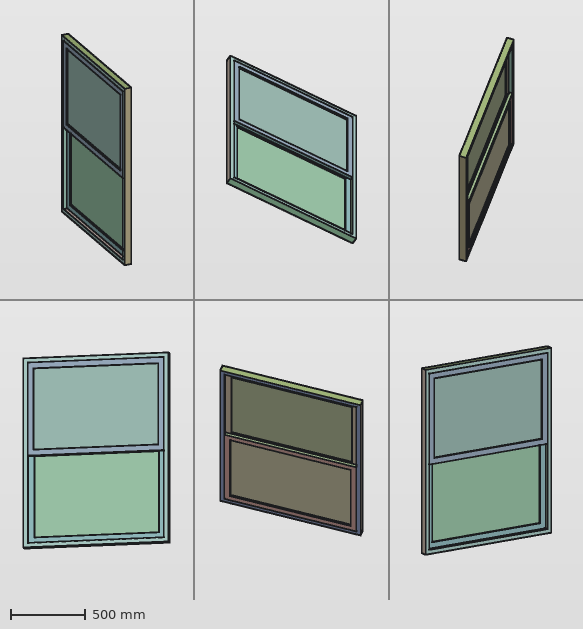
import cadquery as cq

frame_width = 1000.0
frame_height = 1300.0
frame_depth = 50.0
frame_border = 30.0

sash_border = 40.0
sash_depth = 23.0
head_gap = 0.9

glass_thickness = 3.0

opening_width = frame_width - 2 * frame_border
opening_height = frame_height - 2 * frame_border
sash_width = opening_width
sash_height = (opening_height - 2 * head_gap + sash_border) / 2
sash_center_z = (sash_height - sash_border) / 2
sash_center_y = (frame_depth - sash_depth) / 2
pane_width = sash_width - 2 * sash_border
pane_height = sash_height - 2 * sash_border


def make_border(width, height, depth, border):
    """Rectangular ring of constant border width, centred on the origin."""
    outer = cq.Workplane("XY").box(width, depth, height)
    opening = cq.Workplane("XY").box(width - 2 * border, depth, height - 2 * border)
    return outer.cut(opening)


def make_frame():
    return make_border(frame_width, frame_height, frame_depth, frame_border)


def make_sash():
    return make_border(sash_width, sash_height, sash_depth, sash_border)


def make_glass():
    return cq.Workplane("XY").box(pane_width, glass_thickness, pane_height)


frame = make_frame()
bodies = [frame.val()]

for side in (1, -1):
    position = (0, -side * sash_center_y, side * sash_center_z)
    sash = make_sash().translate(position)
    glass = make_glass().translate(position)
    bodies += [sash.val(), glass.val()]

result = cq.Compound.makeCompound(bodies)